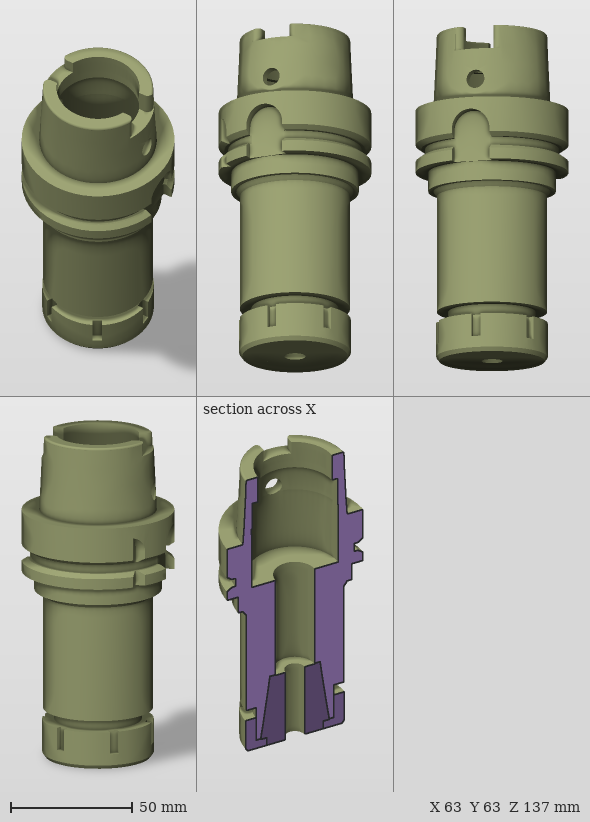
import cadquery as cq
import math


CUT_CLEARANCE = 1.4

TOP_Z = 137.0
FLANGE_TOP_Z = 105.1
GROOVE_TOP_Z = 88.9
GROOVE_BOTTOM_Z = 85.2
GROOVE_CHAMFER_HEIGHT = 1.6
FLANGE_BOTTOM_Z = 79.0
COLLAR_BOTTOM_Z = 71.1
BODY_TOP_Z = 69.0
BODY_BOTTOM_Z = 20.5

TAPER_TOP_RADIUS = 22.7
TAPER_BASE_RADIUS = 24.2
TAPER_RIM_FILLET = 1.0
FLANGE_RADIUS = 31.5
GROOVE_RADIUS = 27.7
GROOVE_CHAMFER_RADIUS = 29.2
COLLAR_RADIUS = 26.3
BODY_CONE_RADIUS = 24.2
BODY_RADIUS = 22.7
NECK_RADIUS = 18.1

MOUTH_RADIUS = 17.1
MOUTH_DEPTH = 12.7
CAVITY_RADIUS = 19.7
CAVITY_STEP_Z = 111.2
LOWER_CAVITY_RADIUS = 20.0
CAVITY_FLOOR_Z = 82.2
THROUGH_RADIUS = 9.0

RIM_SLOT_WIDTH = 12.7
RIM_SLOT_FILLET = 2.2
SHALLOW_SLOT_DEPTH = 5.8
DEEP_SLOT_DEPTH = 10.0
CROSS_HOLE_DIAMETER = 7.7
CROSS_HOLE_Z = 114.1

KEY_SLOT_WIDTH = 16.2
KEY_SLOT_FLOOR_X = 26.7
KEY_SLOT_TOP_Z = 100.1
POCKET_FLOOR_X = 20.3
POCKET_EDGE_Y = 20.0
POCKET_ARCH_RADIUS = 6.7
POCKET_ARCH_CENTER_Z = 93.8

NUT_RADIUS = 23.0
NUT_HEIGHT = 15.8
NUT_CHAMFER_HEIGHT = 1.6
NUT_CHAMFER_WIDTH = 1.2
NUT_LIP_HEIGHT = 4.1
NUT_SLOT_COUNT = 6
NUT_SLOT_WIDTH = 4.0
NUT_SLOT_DEPTH = 9.5
NUT_SLOT_FLOOR_RADIUS = 20.3

COLLET_NOSE_RADIUS = 13.0
COLLET_BORE_RADIUS = 4.4
COLLET_BASE_RADIUS = 15.8
COLLET_HALF_ANGLE = 8.0
COLLET_TOP_Z = 34.2
COLLET_TOP_RADIUS = COLLET_BASE_RADIUS - (COLLET_TOP_Z - NUT_LIP_HEIGHT) * math.tan(
    math.radians(COLLET_HALF_ANGLE)
)


def revolve_profile(points):
    """Revolve a closed (radius, z) outline about the Z axis."""
    return cq.Workplane("XZ").polyline(points).close().revolve(360, (0, 0), (0, 1))


def box_between(x_range, y_range, z_range):
    """Box spanning the given (low, high) ranges."""
    size = [high - low for low, high in (x_range, y_range, z_range)]
    corner = (x_range[0], y_range[0], z_range[0])
    return cq.Workplane("XY").box(*size, centered=False).translate(corner)


def holder_blank():
    """Solid outer shape of the holder, with the rounded taper rim."""
    blank = revolve_profile([
        (0, NUT_LIP_HEIGHT),
        (NECK_RADIUS, NUT_LIP_HEIGHT),
        (NECK_RADIUS, BODY_BOTTOM_Z),
        (BODY_RADIUS, BODY_BOTTOM_Z),
        (BODY_RADIUS, BODY_TOP_Z),
        (BODY_CONE_RADIUS, COLLAR_BOTTOM_Z),
        (COLLAR_RADIUS, COLLAR_BOTTOM_Z),
        (COLLAR_RADIUS, FLANGE_BOTTOM_Z),
        (FLANGE_RADIUS, FLANGE_BOTTOM_Z),
        (FLANGE_RADIUS, GROOVE_BOTTOM_Z - GROOVE_CHAMFER_HEIGHT),
        (GROOVE_CHAMFER_RADIUS, GROOVE_BOTTOM_Z),
        (GROOVE_RADIUS, GROOVE_BOTTOM_Z),
        (GROOVE_RADIUS, GROOVE_TOP_Z),
        (GROOVE_CHAMFER_RADIUS, GROOVE_TOP_Z),
        (FLANGE_RADIUS, GROOVE_TOP_Z + GROOVE_CHAMFER_HEIGHT),
        (FLANGE_RADIUS, FLANGE_TOP_Z),
        (TAPER_BASE_RADIUS, FLANGE_TOP_Z),
        (TAPER_TOP_RADIUS, TOP_Z),
        (0, TOP_Z),
    ])
    return blank.faces(">Z").edges().fillet(TAPER_RIM_FILLET)


def holder_bore():
    """Stepped bore of the holder, ending in the conical collet seat."""
    mouth_bottom_z = TOP_Z - MOUTH_DEPTH
    return revolve_profile([
        (0, NUT_LIP_HEIGHT),
        (COLLET_BASE_RADIUS, NUT_LIP_HEIGHT),
        (COLLET_TOP_RADIUS, COLLET_TOP_Z),
        (THROUGH_RADIUS, COLLET_TOP_Z),
        (THROUGH_RADIUS, CAVITY_FLOOR_Z),
        (LOWER_CAVITY_RADIUS, CAVITY_FLOOR_Z),
        (LOWER_CAVITY_RADIUS, CAVITY_STEP_Z),
        (CAVITY_RADIUS, CAVITY_STEP_Z),
        (CAVITY_RADIUS, mouth_bottom_z),
        (MOUTH_RADIUS, mouth_bottom_z),
        (MOUTH_RADIUS, TOP_Z),
        (0, TOP_Z),
    ])


def rim_slot(depth):
    """Slot through the +X side of the taper rim, flared outward by round corners."""
    outer_radius = TAPER_BASE_RADIUS + CUT_CLEARANCE
    half_width = RIM_SLOT_WIDTH / 2
    center_y = half_width + RIM_SLOT_FILLET
    center_radius = TAPER_TOP_RADIUS - RIM_SLOT_FILLET
    center_x = math.sqrt(center_radius**2 - center_y**2)
    touch_x = center_x * TAPER_TOP_RADIUS / center_radius
    touch_y = center_y * TAPER_TOP_RADIUS / center_radius
    outer_x = center_x * outer_radius / center_radius
    outer_y = center_y * outer_radius / center_radius
    arc_offset = RIM_SLOT_FILLET * math.sqrt(0.5)
    arc_x = center_x + arc_offset
    arc_y = center_y - arc_offset
    return (
        cq.Workplane("XY")
        .workplane(offset=TOP_Z - depth)
        .moveTo(0, -half_width)
        .lineTo(center_x, -half_width)
        .threePointArc((arc_x, -arc_y), (touch_x, -touch_y))
        .lineTo(outer_x, -outer_y)
        .threePointArc((outer_radius, 0), (outer_x, outer_y))
        .lineTo(touch_x, touch_y)
        .threePointArc((arc_x, arc_y), (center_x, half_width))
        .lineTo(0, half_width)
        .close()
        .extrude(depth)
    )


def key_slot():
    """Arched slot on the +X side of the flange, open at the flange bottom."""
    radius = KEY_SLOT_WIDTH / 2
    arch_center_z = KEY_SLOT_TOP_Z - radius
    return (
        cq.Workplane("YZ")
        .workplane(offset=KEY_SLOT_FLOOR_X)
        .moveTo(-radius, FLANGE_BOTTOM_Z)
        .lineTo(radius, FLANGE_BOTTOM_Z)
        .lineTo(radius, arch_center_z)
        .threePointArc((0, KEY_SLOT_TOP_Z), (-radius, arch_center_z))
        .close()
        .extrude(FLANGE_RADIUS - KEY_SLOT_FLOOR_X)
    )


def corner_pocket():
    """Arched pocket on the (-X, +Y) corner of the flange, with a floor facing -X."""
    far_y = POCKET_EDGE_Y + 2 * POCKET_ARCH_RADIUS
    return (
        cq.Workplane("YZ")
        .workplane(offset=-FLANGE_RADIUS)
        .moveTo(POCKET_EDGE_Y, FLANGE_BOTTOM_Z)
        .lineTo(far_y, FLANGE_BOTTOM_Z)
        .lineTo(far_y, POCKET_ARCH_CENTER_Z)
        .threePointArc(
            (POCKET_EDGE_Y + POCKET_ARCH_RADIUS, POCKET_ARCH_CENTER_Z + POCKET_ARCH_RADIUS),
            (POCKET_EDGE_Y, POCKET_ARCH_CENTER_Z),
        )
        .close()
        .extrude(FLANGE_RADIUS - POCKET_FLOOR_X)
    )


def cross_hole():
    """Round hole along X through both walls of the taper."""
    return (
        cq.Workplane("YZ")
        .workplane(offset=-FLANGE_RADIUS)
        .center(0, CROSS_HOLE_Z)
        .circle(CROSS_HOLE_DIAMETER / 2)
        .extrude(2 * FLANGE_RADIUS)
    )


def opposite(shape):
    """The same shape turned to the -X side."""
    return shape.rotate((0, 0, 0), (0, 0, 1), 180)


def make_holder():
    """Hollow-taper holder with its drive and key slots."""
    holder = holder_blank().cut(holder_bore())
    holder = holder.cut(rim_slot(DEEP_SLOT_DEPTH))
    holder = holder.cut(opposite(rim_slot(SHALLOW_SLOT_DEPTH)))
    holder = holder.cut(key_slot())
    holder = holder.cut(opposite(key_slot()))
    holder = holder.cut(corner_pocket())
    return holder.cut(cross_hole())


def make_nut():
    """Nut around the holder neck, with a lip under the collet and wrench slots."""
    nut = revolve_profile([
        (COLLET_NOSE_RADIUS, 0),
        (NUT_RADIUS - NUT_CHAMFER_WIDTH, 0),
        (NUT_RADIUS, NUT_CHAMFER_HEIGHT),
        (NUT_RADIUS, NUT_HEIGHT),
        (NECK_RADIUS, NUT_HEIGHT),
        (NECK_RADIUS, NUT_LIP_HEIGHT),
        (COLLET_NOSE_RADIUS, NUT_LIP_HEIGHT),
    ])
    wrench_slot = box_between(
        (NUT_SLOT_FLOOR_RADIUS, NUT_RADIUS + CUT_CLEARANCE),
        (-NUT_SLOT_WIDTH / 2, NUT_SLOT_WIDTH / 2),
        (NUT_HEIGHT - NUT_SLOT_DEPTH, NUT_HEIGHT),
    )
    for index in range(NUT_SLOT_COUNT):
        angle = index * 360 / NUT_SLOT_COUNT
        nut = nut.cut(wrench_slot.rotate((0, 0, 0), (0, 0, 1), angle))
    return nut


def make_collet():
    """Conical collet whose nose fills the nut opening."""
    return revolve_profile([
        (COLLET_BORE_RADIUS, 0),
        (COLLET_NOSE_RADIUS, 0),
        (COLLET_NOSE_RADIUS, NUT_LIP_HEIGHT),
        (COLLET_BASE_RADIUS, NUT_LIP_HEIGHT),
        (COLLET_TOP_RADIUS, COLLET_TOP_Z),
        (COLLET_BORE_RADIUS, COLLET_TOP_Z),
    ])


holder = make_holder()
nut = make_nut()
collet = make_collet()

result = cq.Compound.makeCompound([holder.val(), nut.val(), collet.val()])